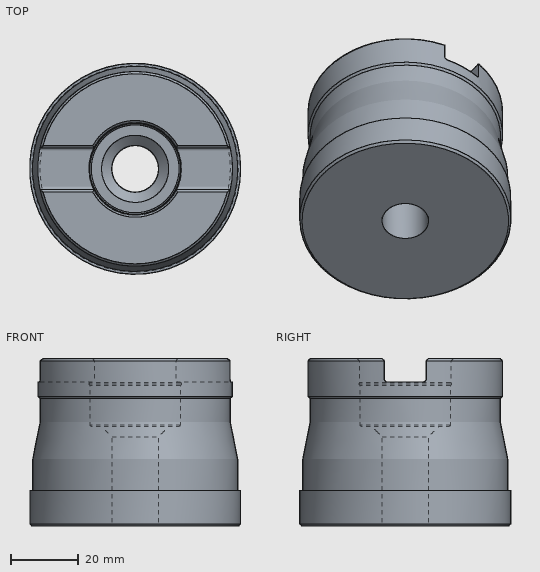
import cadquery as cq

height = 50.0
base_radius = 31.5
belt_radius = 30.6
neck_radius = 28.4
head_radius = 29.05
edge_chamfer = 0.7

base_top = 10.65
belt_top = 19.9
cone_top = 31.0
head_bottom = 38.1

mouth_radius = 13.7
bore_radius = 13.55
mouth_chamfer = 0.75
bore_floor_z = 29.75
floor_chamfer = 0.45
groove_top = 42.85
groove_width = 0.9
groove_depth = 0.2
hole_radius = 6.9
countersink_radius = 10.0
countersink_depth = countersink_radius - hole_radius

slot_width = 12.5
slot_depth = 7.0
slot_fillet = 0.95


def make_body():
    """Stepped outer body, revolved about Z."""
    profile = (
        cq.Workplane("XZ")
        .moveTo(0, 0)
        .lineTo(base_radius - edge_chamfer, 0)
        .lineTo(base_radius, edge_chamfer)
        .lineTo(base_radius, base_top)
        .lineTo(belt_radius, base_top)
        .lineTo(belt_radius, belt_top)
        .lineTo(neck_radius, cone_top)
        .lineTo(neck_radius, head_bottom)
        .lineTo(head_radius, head_bottom + head_radius - neck_radius)
        .lineTo(head_radius, height - edge_chamfer)
        .lineTo(head_radius - edge_chamfer, height)
        .lineTo(0, height)
        .close()
    )
    return profile.revolve(360, (0, 0, 0), (0, 1, 0))


def make_bore():
    """Bore with a V-groove, a chamfered mouth and floor edge, a countersink and a through hole."""
    profile = (
        cq.Workplane("XZ")
        .moveTo(0, 0)
        .lineTo(hole_radius, 0)
        .lineTo(hole_radius, bore_floor_z - countersink_depth)
        .lineTo(countersink_radius, bore_floor_z)
        .lineTo(bore_radius - floor_chamfer, bore_floor_z)
        .lineTo(bore_radius, bore_floor_z + floor_chamfer)
        .lineTo(bore_radius, groove_top - groove_width)
        .lineTo(mouth_radius + groove_depth, groove_top - groove_width / 2)
        .lineTo(mouth_radius, groove_top)
        .lineTo(mouth_radius, height - mouth_chamfer)
        .lineTo(mouth_radius + mouth_chamfer, height)
        .lineTo(0, height)
        .close()
    )
    return profile.revolve(360, (0, 0, 0), (0, 1, 0))


def make_slot():
    """Slot with rounded floor corners and chamfered top edges."""
    half_width = slot_width / 2
    floor_z = height - slot_depth
    profile = (
        cq.Workplane("YZ")
        .moveTo(-half_width + slot_fillet, floor_z)
        .lineTo(half_width - slot_fillet, floor_z)
        .radiusArc((half_width, floor_z + slot_fillet), -slot_fillet)
        .lineTo(half_width, height - edge_chamfer)
        .lineTo(half_width + edge_chamfer, height)
        .lineTo(-half_width - edge_chamfer, height)
        .lineTo(-half_width, height - edge_chamfer)
        .lineTo(-half_width, floor_z + slot_fillet)
        .radiusArc((-half_width + slot_fillet, floor_z), -slot_fillet)
        .close()
    )
    return profile.extrude(base_radius, both=True)


result = make_body().cut(make_bore()).cut(make_slot())